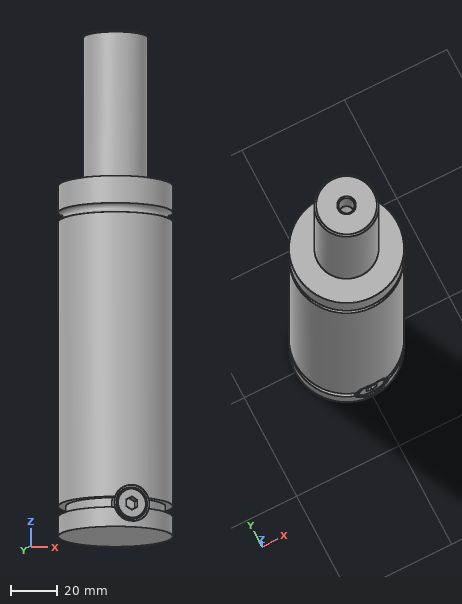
import cadquery as cq
import math

total_height = 221.0
body_diameter = 50.0
body_height = 154.7
body_radius = body_diameter / 2

rod_diameter = 28.0
rod_chamfer = 0.9

base_groove_bottom = 8.6
base_groove_top = 13.3
base_groove_radius = 21.7

head_groove_bottom = 138.8
head_groove_top = 142.8
head_groove_depth = 2.0

rod_hole_diameter = 6.9
rod_hole_mouth_diameter = 8.2
rod_hole_depth = 13.3
drill_point_angle = 118.0

plug_height = 10.5
plug_diameter = 14.0
plug_chamfer = 0.7
plug_face_depth = 0.9
seat_diameter = 16.0
bore_depth = 6.6
hex_across_flats = 5.0
hex_depth = 4.0


def make_body():
    """Revolved cylinder body with both grooves, and the chamfered rod."""
    head_groove_middle = (head_groove_bottom + head_groove_top) / 2
    body = (
        cq.Workplane("XZ")
        .lineTo(body_radius, 0)
        .lineTo(body_radius, base_groove_bottom)
        .lineTo(base_groove_radius, base_groove_bottom)
        .lineTo(base_groove_radius, base_groove_top)
        .lineTo(body_radius, base_groove_top)
        .lineTo(body_radius, head_groove_bottom)
        .threePointArc(
            (body_radius - head_groove_depth, head_groove_middle),
            (body_radius, head_groove_top),
        )
        .lineTo(body_radius, body_height)
        .lineTo(0, body_height)
        .close()
        .revolve(360, (0, 0, 0), (0, 1, 0))
    )
    rod = (
        cq.Workplane("XY")
        .circle(rod_diameter / 2)
        .extrude(total_height)
        .faces(">Z")
        .chamfer(rod_chamfer)
    )
    return body.union(rod)


def make_rod_hole():
    """Blind hole with a chamfered mouth and a conical drill point."""
    hole_radius = rod_hole_diameter / 2
    mouth_radius = rod_hole_mouth_diameter / 2
    mouth_chamfer = mouth_radius - hole_radius
    hole_bottom = total_height - rod_hole_depth
    point_depth = hole_radius / math.tan(math.radians(drill_point_angle / 2))
    return (
        cq.Workplane("XZ")
        .moveTo(0, total_height)
        .lineTo(mouth_radius, total_height)
        .lineTo(hole_radius, total_height - mouth_chamfer)
        .lineTo(hole_radius, hole_bottom)
        .lineTo(0, hole_bottom - point_depth)
        .close()
        .revolve(360, (0, 0, 0), (0, 1, 0))
    )


def plug_plane(depth):
    """Plane facing -Y at a depth below the body surface, centred on the plug."""
    return cq.Workplane("XZ", origin=(0, depth - body_radius, plug_height))


def add_plug(part):
    """Round seat crossing the base groove, carrying a flush chamfered plug with a hex socket."""
    seat_height = bore_depth - plug_face_depth
    bore = plug_plane(bore_depth).circle(seat_diameter / 2).extrude(bore_depth)
    seat = (
        plug_plane(bore_depth)
        .circle(seat_diameter / 2)
        .circle(plug_diameter / 2)
        .extrude(seat_height)
    )
    plug = (
        plug_plane(bore_depth)
        .circle(plug_diameter / 2)
        .extrude(seat_height)
        .faces("<Y")
        .chamfer(plug_chamfer)
    )
    hex_diameter = hex_across_flats / math.cos(math.pi / 6)
    socket = (
        plug_plane(plug_face_depth + hex_depth)
        .transformed(rotate=(0, 0, 90))
        .polygon(6, hex_diameter)
        .extrude(hex_depth)
    )
    return part.cut(bore).union(seat.union(plug).cut(socket))


result = add_plug(make_body().cut(make_rod_hole()))